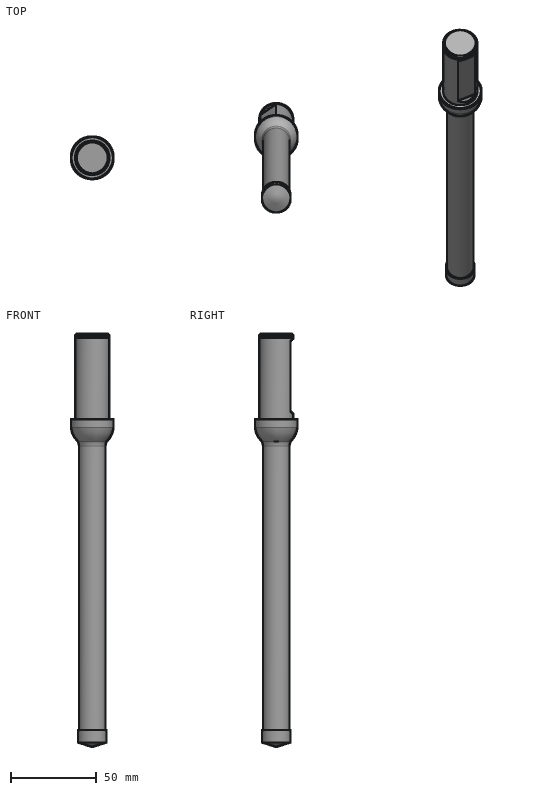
import cadquery as cq

total_length = 241.0

head_diameter = 16.9
head_point_height = 2.7
head_top = 10.0

rod_diameter = 15.7

collar_diameter = 25.0
collar_top = 191.4
collar_height = 5.0
collar_chamfer = 0.5
neck_diameter = 16.9
neck_z = 178.0
neck_fillet_end_z = 175.5
bulge_radius = 14.0

shank_diameter = 20.0
shank_end_chamfer = 1.0
groove_depth = 0.2
groove_width = 0.7
shank_end_to_groove = 2.0
groove_top = total_length - shank_end_to_groove

flat_depth = 1.7
flat_bottom = 194.0
flat_top = 238.3


def make_head():
    """Cylindrical cutting head with a shallow conical point."""
    radius = head_diameter / 2
    profile = (
        cq.Workplane("XZ")
        .moveTo(0, 0)
        .lineTo(radius, head_point_height)
        .lineTo(radius, head_top)
        .lineTo(0, head_top)
        .close()
    )
    return profile.revolve(360, (0, 0), (0, 1))


def make_turned_blank():
    """Rod, collar and plain shank turned in one piece."""
    rod_radius = rod_diameter / 2
    neck_radius = neck_diameter / 2
    collar_radius = collar_diameter / 2
    shank_radius = shank_diameter / 2
    neck_rise = neck_z - neck_fillet_end_z
    neck_step = neck_radius - rod_radius
    neck_fillet = (neck_rise**2 + neck_step**2) / (2 * neck_step)
    profile = (
        cq.Workplane("XZ")
        .moveTo(0, head_top)
        .lineTo(rod_radius, head_top)
        .lineTo(rod_radius, neck_fillet_end_z)
        .radiusArc((neck_radius, neck_z), neck_fillet)
        .radiusArc((collar_radius, collar_top - collar_height), -bulge_radius)
        .lineTo(collar_radius, collar_top - collar_chamfer)
        .lineTo(collar_radius - collar_chamfer, collar_top)
        .lineTo(shank_radius, collar_top)
        .lineTo(shank_radius, total_length)
        .lineTo(0, total_length)
        .close()
    )
    return profile.revolve(360, (0, 0), (0, 1)).faces(">Z").edges().chamfer(shank_end_chamfer)


def make_groove_cutter():
    """Ring that cuts the shallow groove just below the shank end."""
    return (
        cq.Workplane("XY")
        .workplane(offset=groove_top - groove_width)
        .circle(shank_diameter / 2 + groove_depth)
        .circle(shank_diameter / 2 - groove_depth)
        .extrude(groove_width)
    )


def make_flat_cutter():
    """Block with 45 degree end walls that cuts the flat on the shank."""
    floor_y = shank_diameter / 2 - flat_depth
    flare = 2 * flat_depth
    outer_y = floor_y + flare
    return (
        cq.Workplane("YZ")
        .moveTo(floor_y, flat_bottom + flat_depth)
        .lineTo(outer_y, flat_bottom + flat_depth - flare)
        .lineTo(outer_y, flat_top - flat_depth + flare)
        .lineTo(floor_y, flat_top - flat_depth)
        .close()
        .extrude(shank_diameter / 2, both=True)
    )


def make_shaft():
    """Turned blank with the shank groove and flat cut into it."""
    return make_turned_blank().cut(make_groove_cutter()).cut(make_flat_cutter())


head = make_head()
shaft = make_shaft()

result = cq.Compound.makeCompound([head.val(), shaft.val()])